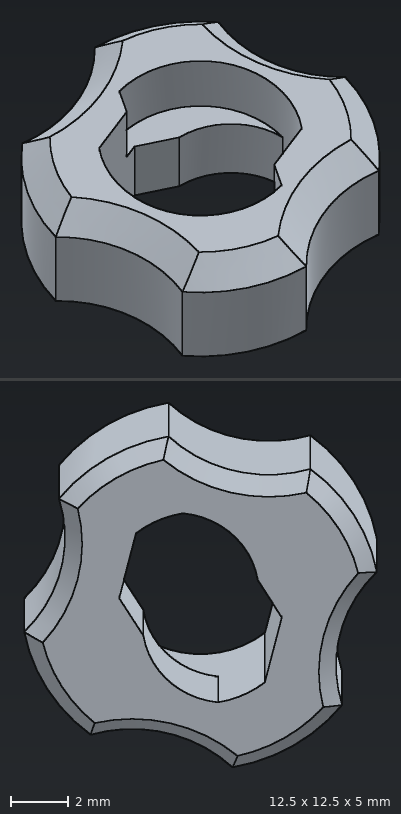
import cadquery as cq
import math


outer_radius = 6.24
height = 5.0
lobe_half_width = 2.23
scallop_middle_radius = 5.0
top_chamfer = 1.0
bottom_chamfer = 0.6

bore_radius = 3.55
slot_half_width = 2.23
slot_corner_sum = 4.0
stop_offset = 2.16
turning_depth = 2.4
lobe_radius = 2.93
lobe_center = (0.47, 0.97)


def polar(radius, angle):
    """Point at the given radius and angle in degrees."""
    return radius * math.cos(math.radians(angle)), radius * math.sin(math.radians(angle))


def make_knob():
    """Round lobes joined by concave scallops, chamfered at both ends."""
    half_lobe_angle = math.degrees(math.asin(lobe_half_width / outer_radius))
    outline = cq.Workplane("XY").moveTo(*polar(outer_radius, -half_lobe_angle))
    for lobe_angle in (0, 90, 180, 270):
        lobe_end = polar(outer_radius, lobe_angle + half_lobe_angle)
        next_lobe_start = polar(outer_radius, lobe_angle + 90 - half_lobe_angle)
        outline = outline.threePointArc(polar(outer_radius, lobe_angle), lobe_end)
        outline = outline.threePointArc(polar(scallop_middle_radius, lobe_angle + 45), next_lobe_start)
    knob = outline.close().extrude(height)
    knob = knob.faces(">Z").edges().chamfer(top_chamfer)
    return knob.faces("<Z").edges().chamfer(bottom_chamfer)


def make_corner_limit():
    """Diagonal band whose flat sides cut two opposite corners off the bore."""
    band_width = slot_corner_sum * math.sqrt(2)
    band = cq.Workplane("XY").rect(band_width, 2 * outer_radius).extrude(height)
    return band.rotate((0, 0, 0), (0, 0, 1), 45)


def make_slot(bore):
    """Through slot: each half has a straight quarter with a cut corner and an opposite round lobe."""
    slot = cq.Workplane("XY")
    for side in (1, -1):
        straight_quarter = cq.Workplane("XY").center(-side * slot_half_width / 2, -side * bore_radius / 2)
        straight_quarter = straight_quarter.rect(slot_half_width, bore_radius).extrude(height)
        lobe = cq.Workplane("XY").center(side * lobe_center[0], side * lobe_center[1])
        lobe = lobe.circle(lobe_radius).extrude(height)
        lobe_half = cq.Workplane("XY").center(-side * bore_radius / 2, 0)
        lobe_half = lobe_half.rect(bore_radius, 2 * bore_radius).extrude(height)
        slot = slot.union(straight_quarter).union(lobe.intersect(lobe_half))
    return slot.intersect(bore).intersect(make_corner_limit())


def make_turning_chamber(bore):
    """Upper part of the bore, where the mating head turns up to the stops."""
    chamber = make_corner_limit()
    for side in (1, -1):
        beside_stop = cq.Workplane("XY").center(side * bore_radius / 2, 0)
        beside_stop = beside_stop.rect(bore_radius, 2 * stop_offset).extrude(height)
        chamber = chamber.union(beside_stop)
    chamber = chamber.intersect(bore)
    floor_height = height - turning_depth
    above_floor = cq.Workplane("XY").workplane(offset=floor_height)
    above_floor = above_floor.circle(outer_radius).extrude(turning_depth)
    return chamber.intersect(above_floor)


socket_bore = cq.Workplane("XY").circle(bore_radius).extrude(height)
result = make_knob().cut(make_slot(socket_bore)).cut(make_turning_chamber(socket_bore))